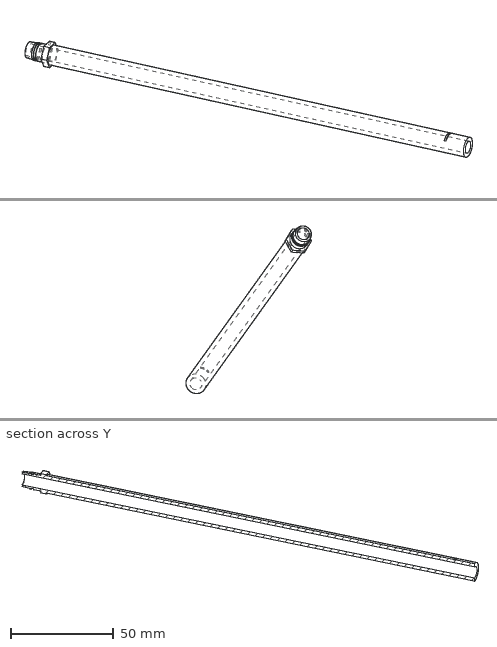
import cadquery as cq
import math

total_length = 240.0
tube_diameter = 10.0
bore_diameter = 6.0

tip_front_diameter = 8.2
tip_back_diameter = 8.6
tip_length = 3.8
ring_diameter = 9.0
ring_width = 1.0
groove_diameter = 8.2
groove_width = 1.2
collar_diameter = 9.0

hex_across_flats = 11.0
hex_start = 9.8
hex_width = 3.0

slot_start = 229.0
slot_width = 1.0
slot_depth = 0.2
slot_first_angle = -12.0
slot_last_angle = 54.0


def revolve_about_x(profile, angle=360):
    """Revolve an outline of (x, radius) points about the X axis, starting at +Z."""
    return cq.Workplane("XZ").polyline(profile).close().revolve(angle, (0, 0, 0), (1, 0, 0))


def stepped_body():
    """Nipple steps and plain tube, bored through."""
    ring_end = tip_length + ring_width
    groove_end = ring_end + groove_width
    profile = [
        (0, bore_diameter / 2),
        (0, tip_front_diameter / 2),
        (tip_length, tip_back_diameter / 2),
        (tip_length, ring_diameter / 2),
        (ring_end, ring_diameter / 2),
        (ring_end, groove_diameter / 2),
        (groove_end, groove_diameter / 2),
        (groove_end, collar_diameter / 2),
        (hex_start, collar_diameter / 2),
        (hex_start, tube_diameter / 2),
        (total_length, tube_diameter / 2),
        (total_length, bore_diameter / 2),
    ]
    return revolve_about_x(profile)


def hex_flange():
    """Hexagon with corners on the Y axis, bored like the tube."""
    across_corners = hex_across_flats / math.cos(math.radians(30))
    return (
        cq.Workplane("YZ", origin=(hex_start, 0, 0))
        .polygon(6, across_corners)
        .circle(bore_diameter / 2)
        .extrude(hex_width)
    )


def slot_cutter():
    """Ring sector that reaches from the slot floor to beyond the tube surface."""
    floor_radius = tube_diameter / 2 - slot_depth
    outer_radius = tube_diameter / 2 + slot_depth
    slot_end = slot_start + slot_width
    profile = [
        (slot_start, floor_radius),
        (slot_start, outer_radius),
        (slot_end, outer_radius),
        (slot_end, floor_radius),
    ]
    sector = revolve_about_x(profile, slot_last_angle - slot_first_angle)
    return sector.rotate((0, 0, 0), (1, 0, 0), slot_first_angle)


result = stepped_body().union(hex_flange()).cut(slot_cutter())